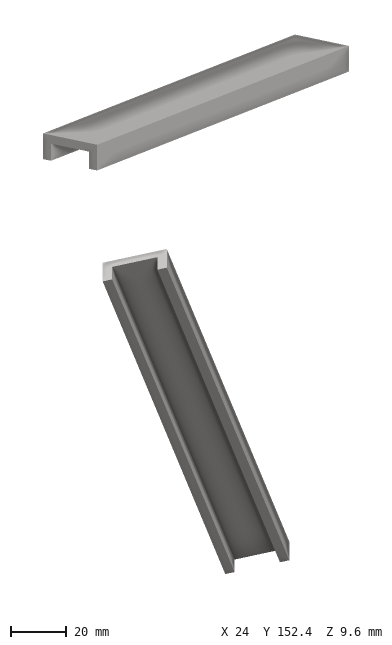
import cadquery as cq

length = 152.4
width = 24.0
height = 9.6

leg_thickness = 3.5
web_thickness = 3.2

bar = cq.Workplane("XY").box(width, length, height, centered=(True, True, False))

groove = cq.Workplane("XY").box(
    width - 2 * leg_thickness,
    length,
    height - web_thickness,
    centered=(True, True, False),
)

result = bar.cut(groove)